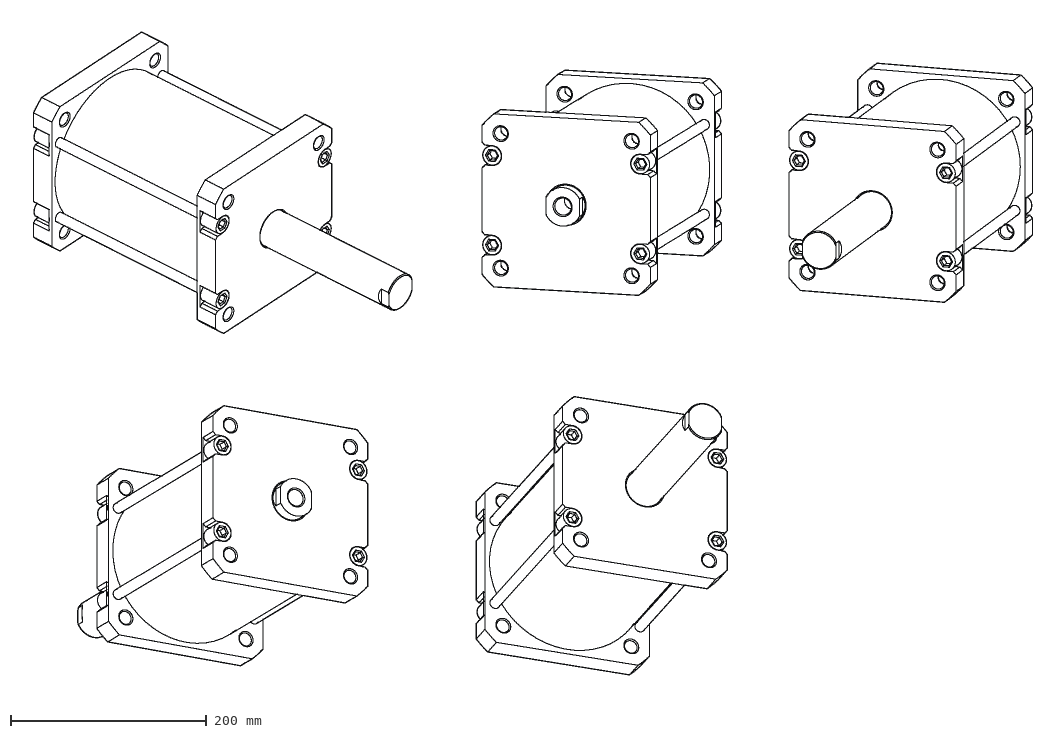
import cadquery as cq
import math

rod_length = 431.5
rod_diameter = 40.0
rod_overhang = 12.0
rod_tip_chamfer = 1.1

flat_width = 36.0
flat_length = 10.5

rod_bore_diameter = 17.5
rod_bore_depth = 34.5
drill_tip_angle = 118.0

barrel_diameter = 170.0
barrel_length = 197.0

plate_side = 180.0
plate_thickness = 25.0
plate_corner_diameter = 237.5

mount_hole_spacing = 140.0
mount_hole_diameter = 14.0

hole_chamfer = 1.5

tie_spacing_y = 158.5
tie_spacing_z = 93.0
tie_diameter = 11.0
head_diameter = 20.0
head_length = 21.0
head_clearance = 0.5
recess_mouth_chamfer = 3.0

socket_flats = 9.5
socket_depth = 10.5

front_plate_start = rod_overhang
barrel_start = front_plate_start + plate_thickness
rear_plate_start = barrel_start + barrel_length
rear_plate_end = rear_plate_start + plate_thickness
middle_x = (front_plate_start + rear_plate_end) / 2

tie_y = tie_spacing_y / 2
tie_z = tie_spacing_z / 2
tie_places = [(y, z) for y in (-tie_y, tie_y) for z in (-tie_z, tie_z)]


def section(x):
    """Sketch plane across the axis at x, with local axes Y and Z."""
    return cq.Workplane("YZ", origin=(x, 0, 0))


def x_cylinder(x, length, diameter):
    """Cylinder about the axis that starts at x."""
    return section(x).circle(diameter / 2).extrude(length)


def mirrored_about_middle(shape):
    """Copy of a shape reflected halfway between the outer plate faces."""
    return shape.mirror("YZ", (middle_x, 0, 0))


def recess_cutter(y, z):
    """Round-bottomed recess for a tie head, open to the plate's side with a flared mouth."""
    side = math.copysign(1, y)
    half_width = head_diameter / 2 + head_clearance
    edge = side * plate_side / 2
    throat = edge - side * recess_mouth_chamfer
    mouth_half_width = half_width + recess_mouth_chamfer
    return (
        section(front_plate_start)
        .moveTo(y, z + half_width)
        .lineTo(throat, z + half_width)
        .lineTo(edge, z + mouth_half_width)
        .lineTo(edge, z - mouth_half_width)
        .lineTo(throat, z - half_width)
        .lineTo(y, z - half_width)
        .threePointArc((y - side * half_width, z), (y, z + half_width))
        .close()
        .extrude(head_length)
    )


def make_front_plate():
    plate = section(front_plate_start).rect(plate_side, plate_side).extrude(plate_thickness)
    mount_holes = (
        section(front_plate_start)
        .rect(mount_hole_spacing, mount_hole_spacing, forConstruction=True)
        .vertices()
        .circle(mount_hole_diameter / 2)
        .extrude(plate_thickness)
    )
    plate = plate.cut(mount_holes).edges("%CIRCLE").chamfer(hole_chamfer)

    rod_hole = x_cylinder(front_plate_start, plate_thickness, rod_diameter)
    rod_hole_rim = cq.selectors.RadiusNthSelector(-1)
    plate = plate.cut(rod_hole).faces("<X").edges(rod_hole_rim).chamfer(hole_chamfer)

    plate = plate.intersect(x_cylinder(front_plate_start, plate_thickness, plate_corner_diameter))
    for y, z in tie_places:
        plate = plate.cut(recess_cutter(y, z))
        tie_hole = x_cylinder(front_plate_start, plate_thickness, tie_diameter)
        plate = plate.cut(tie_hole.translate((0, y, z)))
    return plate


front_plate = make_front_plate()
rear_plate = mirrored_about_middle(front_plate)


barrel = (
    section(barrel_start)
    .circle(barrel_diameter / 2)
    .circle(rod_diameter / 2)
    .extrude(barrel_length)
)


def make_tie_head():
    """Head at the -X end, centred on the axis, with a chamfered hexagon socket."""
    head = x_cylinder(front_plate_start, head_length, head_diameter)
    socket_corners = socket_flats / math.cos(math.pi / 6)
    socket = section(front_plate_start).polygon(6, socket_corners).extrude(socket_depth)
    return head.cut(socket).faces("<X").edges("%LINE").chamfer(hole_chamfer)


def make_tie_rod(y, z):
    head = make_tie_head()
    shank_start = front_plate_start + head_length
    shank = x_cylinder(shank_start, 2 * (middle_x - shank_start), tie_diameter)
    tie = head.union(shank).union(mirrored_about_middle(head))
    return tie.translate((0, y, z))


tie_rods = [make_tie_rod(y, z) for y, z in tie_places]


def flat_cutter(side):
    """Wedge-ended cut for one spanner flat of the -X rod end, on the given Y side."""
    flat_y = side * flat_width / 2
    outer_y = side * rod_diameter / 2
    run_out = flat_length + (rod_diameter - flat_width) / 2
    return (
        cq.Workplane("XY", origin=(0, 0, -rod_diameter / 2))
        .polyline([(0, flat_y), (flat_length, flat_y), (run_out, outer_y), (0, outer_y)])
        .close()
        .extrude(rod_diameter)
    )


def make_rod():
    rod = x_cylinder(0, rod_length, rod_diameter).faces(">X").chamfer(rod_tip_chamfer)
    for side in (-1, 1):
        flat = flat_cutter(side)
        rod = rod.cut(flat).cut(flat.mirror("YZ", (rod_length / 2, 0, 0)))
    bore_radius = rod_bore_diameter / 2
    tip_depth = bore_radius / math.tan(math.radians(drill_tip_angle / 2))
    bore = (
        cq.Workplane("XY")
        .polyline([
            (0, 0),
            (0, bore_radius + hole_chamfer),
            (hole_chamfer, bore_radius),
            (rod_bore_depth, bore_radius),
            (rod_bore_depth + tip_depth, 0),
        ])
        .close()
        .revolve(360, (0, 0, 0), (1, 0, 0))
    )
    return rod.cut(bore)


rod = make_rod()

result = cq.Compound.makeCompound([
    front_plate.val(),
    rear_plate.val(),
    barrel.val(),
    rod.val(),
    *[tie.val() for tie in tie_rods],
])